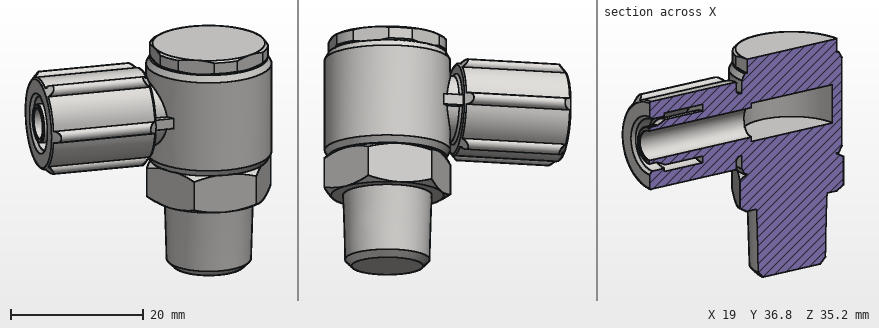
import cadquery as cq
import math


FULL_TURN = 360
QUARTER_TURN = FULL_TURN / 4

BODY_RADIUS = 9.5
BODY_HALF_HEIGHT = 8.0
BODY_CHAMFER_HEIGHT = 1.0
BEVEL_SLOPE = math.tan(math.radians(30))
BODY_CHAMFER_WIDTH = BODY_CHAMFER_HEIGHT * BEVEL_SLOPE

ACROSS_FLATS = 17.0
HALF_FLATS = ACROSS_FLATS / 2
HEX_SIDES = 6
HALF_SIDE_ANGLE = FULL_TURN / (2 * HEX_SIDES)
ACROSS_CORNERS = ACROSS_FLATS / math.cos(math.radians(HALF_SIDE_ANGLE))
CAP_CORNER_RADIUS = 8.95
CAP_HEIGHT = 2.2
HEX_HEIGHT = 6.0
THREAD_LENGTH = 11.0
THREAD_TOP_RADIUS = 6.72
THREAD_CHAMFER = 1.0
THREAD_TAPER = 1 / 32

NECK_RADIUS = 5.0
NECK_FLARE = 0.4
TAB_HALF_WIDTH = 6.0
TAB_THICKNESS = 1.6

COLLAR_START = 10.4
COLLAR_END = 26.9
COLLAR_RADIUS = 7.0
COLLAR_FACE_RADIUS = 6.75
RIB_COUNT = 6
RIB_RADIUS = 0.9
RIB_CENTRE_RADIUS = 7.05

SOCKET_RADIUS = 4.1
SOCKET_MOUTH_RADIUS = 4.6
SOCKET_CHAMFER_DEPTH = 0.5
SOCKET_LIP_DEPTH = 2.85
SOCKET_DEPTH = 10.0
SOCKET_UNDERCUT_RADIUS = 4.6
SPIGOT_END = 27.0
SPIGOT_RADIUS = 3.63
SPIGOT_NOSE_RADIUS = 2.95
SPIGOT_TIP_RADIUS = 2.8
SPIGOT_TIP_CHAMFER = SPIGOT_NOSE_RADIUS - SPIGOT_TIP_RADIUS
SPIGOT_NOSE_LENGTH = 1.6
SPIGOT_CONE_LENGTH = 1.5

BRANCH_BORE_RADIUS = 2.3
BORE_MOUTH_CHAMFER = 0.1
CHAMBER_RADIUS = 7.65
CHAMBER_HALF_HEIGHT = 3.0

HEX_TOP = -BODY_HALF_HEIGHT
HEX_BOTTOM = HEX_TOP - HEX_HEIGHT
THREAD_BOTTOM = HEX_BOTTOM - THREAD_LENGTH


def upright(profile):
    """Revolve (radius, z) points about the Z axis."""
    return cq.Workplane("XZ").polyline(profile).close().revolve(FULL_TURN, (0, 0), (0, 1))


def branch(profile):
    """Revolve (radius, distance along -Y) points about the branch axis."""
    points = [(radius, -distance) for radius, distance in profile]
    return cq.Workplane("XY").polyline(points).close().revolve(FULL_TURN, (0, 0), (0, 1))


def bevelled_hexagon(bottom, height, corner_radius):
    """Hexagon with flats on +X and -X, cut at 30 degrees on both ends."""
    top = bottom + height
    drop = (corner_radius - HALF_FLATS) * BEVEL_SLOPE
    hexagon = (
        cq.Workplane("XY", origin=(0, 0, bottom))
        .polygon(HEX_SIDES, ACROSS_CORNERS)
        .extrude(height)
        .rotate((0, 0, 0), (0, 0, 1), HALF_SIDE_ANGLE)
    )
    envelope = upright([
        (0, bottom),
        (HALF_FLATS, bottom),
        (corner_radius, bottom + drop),
        (corner_radius, top - drop),
        (HALF_FLATS, top),
        (0, top),
    ])
    return hexagon.intersect(envelope)


def make_body():
    end_radius = BODY_RADIUS - BODY_CHAMFER_WIDTH
    shoulder = BODY_HALF_HEIGHT - BODY_CHAMFER_HEIGHT
    return upright([
        (0, -BODY_HALF_HEIGHT),
        (end_radius, -BODY_HALF_HEIGHT),
        (BODY_RADIUS, -shoulder),
        (BODY_RADIUS, shoulder),
        (end_radius, BODY_HALF_HEIGHT),
        (0, BODY_HALF_HEIGHT),
    ])


def make_cap():
    """Hexagon with turned corners and flats on +Y and -Y."""
    cap = bevelled_hexagon(BODY_HALF_HEIGHT, CAP_HEIGHT, CAP_CORNER_RADIUS)
    return cap.rotate((0, 0, 0), (0, 0, 1), QUARTER_TURN)


def make_hexagon():
    return bevelled_hexagon(HEX_BOTTOM, HEX_HEIGHT, ACROSS_CORNERS / 2)


def make_thread():
    chamfer_radius = THREAD_TOP_RADIUS - THREAD_TAPER * (THREAD_LENGTH - THREAD_CHAMFER)
    return upright([
        (0, HEX_BOTTOM),
        (THREAD_TOP_RADIUS, HEX_BOTTOM),
        (chamfer_radius, THREAD_BOTTOM + THREAD_CHAMFER),
        (chamfer_radius - THREAD_CHAMFER, THREAD_BOTTOM),
        (0, THREAD_BOTTOM),
    ])


def make_neck():
    neck = branch([
        (0, 0),
        (NECK_RADIUS, 0),
        (NECK_RADIUS, COLLAR_START - NECK_FLARE),
        (NECK_RADIUS + NECK_FLARE, COLLAR_START),
        (0, COLLAR_START),
    ])
    tabs = cq.Workplane("XY").box(
        2 * TAB_HALF_WIDTH, COLLAR_START, TAB_THICKNESS, centered=(True, False, True)
    )
    return neck.union(tabs.translate((0, -COLLAR_START, 0)))


def make_collar():
    """Ribbed sleeve with both ends turned to a 45 degree cone."""
    length = COLLAR_END - COLLAR_START
    start_plane = cq.Workplane("XZ", origin=(0, -COLLAR_START, 0))
    collar = start_plane.circle(COLLAR_RADIUS).extrude(length)
    ribs = (
        start_plane.polarArray(RIB_CENTRE_RADIUS, 0, FULL_TURN, RIB_COUNT)
        .circle(RIB_RADIUS)
        .extrude(length)
    )
    outer_radius = RIB_CENTRE_RADIUS + RIB_RADIUS
    drop = outer_radius - COLLAR_FACE_RADIUS
    envelope = branch([
        (0, COLLAR_START),
        (COLLAR_FACE_RADIUS, COLLAR_START),
        (outer_radius, COLLAR_START + drop),
        (outer_radius, COLLAR_END - drop),
        (COLLAR_FACE_RADIUS, COLLAR_END),
        (0, COLLAR_END),
    ])
    return collar.union(ribs).intersect(envelope)


def make_socket():
    """Round recess: chamfered mouth, short guide length, then a wider undercut."""
    floor = COLLAR_END - SOCKET_DEPTH
    lip = COLLAR_END - SOCKET_LIP_DEPTH
    return branch([
        (0, floor),
        (SOCKET_UNDERCUT_RADIUS, floor),
        (SOCKET_UNDERCUT_RADIUS, lip),
        (SOCKET_RADIUS, lip),
        (SOCKET_RADIUS, COLLAR_END - SOCKET_CHAMFER_DEPTH),
        (SOCKET_MOUTH_RADIUS, COLLAR_END),
        (0, COLLAR_END),
    ])


def make_spigot():
    """Straight nose widening through a cone to the full radius."""
    floor = COLLAR_END - SOCKET_DEPTH
    cone_front = SPIGOT_END - SPIGOT_NOSE_LENGTH
    return branch([
        (0, floor),
        (SPIGOT_RADIUS, floor),
        (SPIGOT_RADIUS, cone_front - SPIGOT_CONE_LENGTH),
        (SPIGOT_NOSE_RADIUS, cone_front),
        (SPIGOT_NOSE_RADIUS, SPIGOT_END - SPIGOT_TIP_CHAMFER),
        (SPIGOT_TIP_RADIUS, SPIGOT_END),
        (0, SPIGOT_END),
    ])


def make_passages():
    """Bore along the branch, opening into a round chamber inside the body."""
    bore = branch([
        (0, 0),
        (BRANCH_BORE_RADIUS, 0),
        (BRANCH_BORE_RADIUS, SPIGOT_END - BORE_MOUTH_CHAMFER),
        (BRANCH_BORE_RADIUS + BORE_MOUTH_CHAMFER, SPIGOT_END),
        (0, SPIGOT_END),
    ])
    chamber = cq.Workplane("XY").circle(CHAMBER_RADIUS).extrude(CHAMBER_HALF_HEIGHT, both=True)
    return bore.union(chamber)


result = (
    make_body()
    .union(make_cap())
    .union(make_hexagon())
    .union(make_thread())
    .union(make_neck())
    .union(make_collar())
    .cut(make_socket())
    .union(make_spigot())
    .cut(make_passages())
)